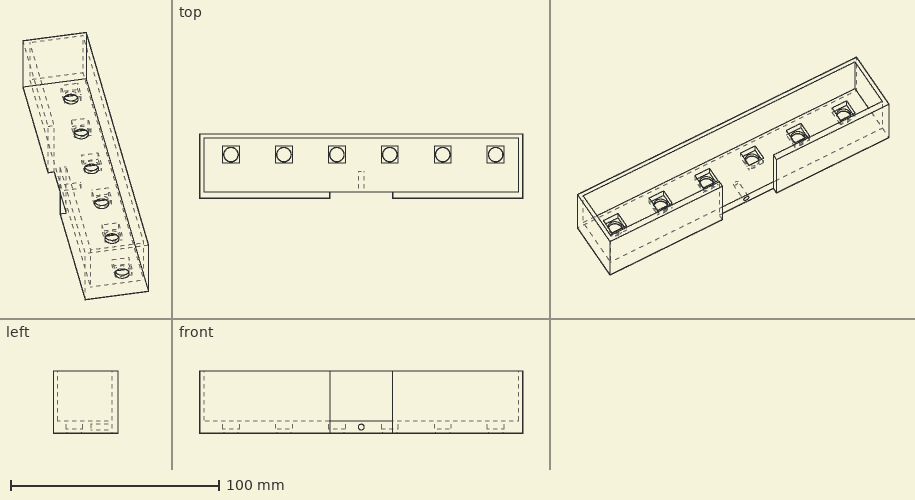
import cadquery as cq

length = 155.0
depth = 31.0
height = 30.0

end_wall = 2.0
back_wall = 2.0
front_wall = 3.0
floor_thickness = 6.0

opening_width = 30.0
opening_center_x = length / 2

recess_count = 6
recess_pitch = 25.4
first_recess_x = 15.0
recess_y = depth - 10.0
recess_side = 8.1
recess_depth = 4.0
recess_hole_diameter = 6.8

cross_hole_diameter = 2.8
cross_hole_depth = 10.0


def outer_block():
    """Solid block with one corner at the origin."""
    return cq.Workplane("XY").box(length, depth, height, centered=False)


def cavity():
    """Open-topped inside space above the floor."""
    cavity_length = length - 2 * end_wall
    cavity_width = depth - front_wall - back_wall
    return (
        cq.Workplane("XY", origin=(end_wall, front_wall, floor_thickness))
        .rect(cavity_length, cavity_width, centered=False)
        .extrude(height - floor_thickness)
    )


def front_opening():
    """Full-height gap in the front wall."""
    return (
        cq.Workplane("XY", origin=(opening_center_x, front_wall / 2, 0))
        .rect(opening_width, front_wall)
        .extrude(height)
    )


def floor_recess(center_x):
    """Square recess in the floor together with its through hole."""
    recess = (
        cq.Workplane("XY", origin=(center_x, recess_y, floor_thickness))
        .rect(recess_side, recess_side)
        .extrude(-recess_depth)
    )
    hole = (
        cq.Workplane("XY", origin=(center_x, recess_y, 0))
        .circle(recess_hole_diameter / 2)
        .extrude(floor_thickness)
    )
    return recess.union(hole)


def cross_hole():
    """Blind hole running backwards into the floor at mid thickness."""
    return (
        cq.Workplane("XZ", origin=(opening_center_x, front_wall, floor_thickness / 2))
        .circle(cross_hole_diameter / 2)
        .extrude(-cross_hole_depth)
    )


result = outer_block().cut(cavity()).cut(front_opening()).cut(cross_hole())
for index in range(recess_count):
    result = result.cut(floor_recess(first_recess_x + index * recess_pitch))